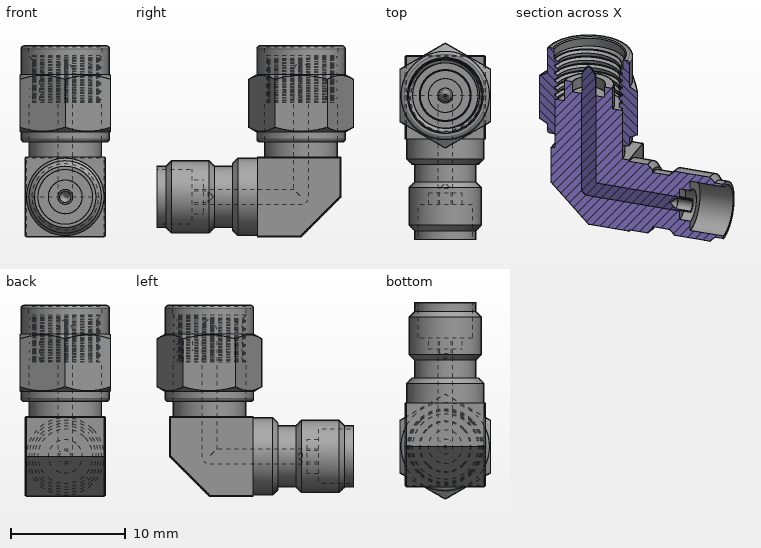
import cadquery as cq
import math


block_half = 3.5
block_front = 3.8
block_edge_chamfer = 0.1

collar_radius = 3.38
collar_end = 6.0
collar_chamfer = 0.48
port_groove_radius = 2.68
port_land_start = 7.55
port_land_radius = 3.15
port_land_end = 11.8
port_end = 12.58
port_bore_radius = 2.39
port_floor = 9.5

neck_radius = 3.17
shoulder_z = 8.24
tip_radius = 2.27
tip_chamfer = 0.09
tip_z = 10.23

recess_radius = 1.48
recess_depth = 1.0

nut_bottom = 4.79
nut_top = 13.2
nut_radius = 3.86
nut_edge_fillet = 0.27
hex_across_flats = 7.93
hex_bottom = 5.66
hex_top = 10.67
hex_chamfer_angle = 30
counterbore_radius = 3.21
counterbore_depth = 0.85
mouth_chamfer = 0.1

thread_pitch = 0.7
thread_minor_radius = 2.85
thread_major_radius = 3.14
thread_flank_angle = 30
thread_root_width = 0.09
thread_start_angle = 60

contact_radius = 0.65
contact_top = 11.95
contact_flat_radius = 0.1
contact_nose_radius = 0.24
contact_nose_height = 0.14
contact_cone_radius = 0.48
contact_cone_height = 0.35
socket_radius = 0.5
socket_depth = 1.37
socket_cone_angle = 45


def revolve_z(points):
    """Solid of revolution about Z from (radius, height) points."""
    return cq.Workplane("XZ").polyline(points).close().revolve(360, (0, 0), (0, 1))


def cylinder_z(radius, bottom, top):
    return cq.Workplane("XY").workplane(offset=bottom).circle(radius).extrude(top - bottom)


def cylinder_front(radius, start, end):
    """Cylinder along -Y between two distances from the origin."""
    return cq.Workplane("XZ").workplane(offset=start).circle(radius).extrude(end - start)


def make_block():
    """Cube with its lower back corner cut off and its side outlines chamfered."""
    block = (
        cq.Workplane("YZ")
        .polyline([
            (-block_front, block_half),
            (block_half, block_half),
            (block_half, 0),
            (0, -block_half),
            (-block_front, -block_half),
        ])
        .close()
        .extrude(block_half, both=True)
    )
    outline_edges = block.faces("<X or >X").edges("not <Y")
    top_back_edge = block.edges("|X").edges(">Y").edges(">Z")
    return outline_edges.add(top_back_edge).chamfer(block_edge_chamfer)


def make_female_port():
    """Collar, groove and land turned about the Y axis."""
    land_chamfer = port_land_radius - port_groove_radius
    profile = [
        (0, 0),
        (collar_radius, 0),
        (collar_radius, collar_end - collar_chamfer),
        (collar_radius - collar_chamfer, collar_end),
        (port_groove_radius, collar_end),
        (port_groove_radius, port_land_start),
        (port_land_radius, port_land_start + land_chamfer),
        (port_land_radius, port_land_end - land_chamfer),
        (port_groove_radius, port_land_end),
        (port_groove_radius, port_end),
        (0, port_end),
    ]
    return revolve_z(profile).rotate((0, 0, 0), (1, 0, 0), 90)


def make_male_port():
    """Neck with a shoulder and a smaller chamfered tip."""
    return revolve_z([
        (0, 0),
        (neck_radius, 0),
        (neck_radius, shoulder_z),
        (tip_radius, shoulder_z),
        (tip_radius, tip_z - tip_chamfer),
        (tip_radius - tip_chamfer, tip_z),
        (0, tip_z),
    ])


def make_contact():
    """Elbow contact: a pointed pin upward and a drilled socket forward."""
    nose_base = contact_top - contact_nose_height
    cone_base = nose_base - contact_cone_height
    cone_angle = math.atan2(contact_cone_radius - contact_nose_radius, contact_cone_height)
    arc_base = cone_base - (contact_radius - contact_cone_radius) / math.tan(cone_angle / 2)
    pin = (
        cq.Workplane("XZ")
        .moveTo(0, 0)
        .lineTo(contact_radius, 0)
        .lineTo(contact_radius, arc_base)
        .tangentArcPoint((contact_cone_radius, cone_base), relative=False)
        .lineTo(contact_nose_radius, nose_base)
        .lineTo(contact_flat_radius, contact_top)
        .lineTo(0, contact_top)
        .close()
        .revolve(360, (0, 0), (0, 1))
    )
    arm = cylinder_front(contact_radius, 0, port_floor)
    elbow = cq.Workplane("XY").sphere(contact_radius)
    cone_depth = socket_radius / math.tan(math.radians(socket_cone_angle))
    socket = revolve_z([
        (0, port_floor - socket_depth - cone_depth),
        (socket_radius, port_floor - socket_depth),
        (socket_radius, port_floor),
        (0, port_floor),
    ]).rotate((0, 0, 0), (1, 0, 0), 90)
    return pin.union(arm).union(elbow).cut(socket)


def make_housing():
    """Block with both ports, opened for the bore, the recesses and the contact."""
    housing = make_block().union(make_female_port()).union(make_male_port())
    housing = housing.cut(cylinder_front(port_bore_radius, port_floor, port_end))
    housing = housing.cut(cylinder_front(recess_radius, port_floor - recess_depth, port_floor))
    housing = housing.cut(cylinder_z(recess_radius, tip_z - recess_depth, tip_z))
    return (
        housing.cut(cylinder_z(contact_radius, 0, tip_z))
        .cut(cylinder_front(contact_radius, 0, port_floor))
        .cut(cq.Workplane("XY").sphere(contact_radius))
    )


def make_hexagon():
    """Hexagon with corners on the Y axis and both ends turned to a cone."""
    corner_radius = hex_across_flats / math.sqrt(3)
    drop = (corner_radius - nut_radius) * math.tan(math.radians(hex_chamfer_angle))
    hexagon = (
        cq.Workplane("XY")
        .workplane(offset=hex_bottom)
        .polygon(6, 2 * corner_radius)
        .extrude(hex_top - hex_bottom)
        .rotate((0, 0, 0), (0, 0, 1), 30)
    )
    envelope = revolve_z([
        (0, hex_bottom),
        (nut_radius, hex_bottom),
        (corner_radius, hex_bottom + drop),
        (corner_radius, hex_top - drop),
        (nut_radius, hex_top),
        (0, hex_top),
    ])
    return hexagon.intersect(envelope)


def make_thread(bottom, height):
    """Helical V-groove cutter, starting slightly inside the bore wall."""
    overlap = 0.03
    inner_radius = thread_minor_radius - overlap
    half_root = thread_root_width / 2
    flank_rise = (thread_major_radius - inner_radius) * math.tan(math.radians(thread_flank_angle))
    half_width = half_root + flank_rise
    helix = cq.Wire.makeHelix(thread_pitch, height, inner_radius)
    groove = (
        cq.Workplane("XZ")
        .polyline([
            (inner_radius, -half_width),
            (thread_major_radius, -half_root),
            (thread_major_radius, half_root),
            (inner_radius, half_width),
        ])
        .close()
        .sweep(cq.Workplane(helix), isFrenet=True)
    )
    return groove.rotate((0, 0, 0), (0, 0, 1), thread_start_angle).translate((0, 0, bottom))


def make_nut():
    """Round sleeve with a hexagon, threaded inside and bored for the neck below."""
    sleeve = cylinder_z(nut_radius, nut_bottom, nut_top).edges().fillet(nut_edge_fillet)
    counterbore_floor = nut_top - counterbore_depth
    cone_bottom = counterbore_floor - (counterbore_radius - thread_minor_radius)
    bore = revolve_z([
        (0, nut_bottom),
        (neck_radius, nut_bottom),
        (neck_radius, shoulder_z),
        (thread_minor_radius, shoulder_z),
        (thread_minor_radius, cone_bottom),
        (counterbore_radius, counterbore_floor),
        (counterbore_radius, nut_top - mouth_chamfer),
        (counterbore_radius + mouth_chamfer, nut_top),
        (0, nut_top),
    ])
    thread_bottom = shoulder_z - thread_pitch / 2
    thread = make_thread(thread_bottom, counterbore_floor - thread_bottom)
    return sleeve.union(make_hexagon()).cut(bore).cut(thread)


contact = make_contact()
housing = make_housing()
nut = make_nut()

result = cq.Compound.makeCompound([housing.val(), nut.val(), contact.val()])